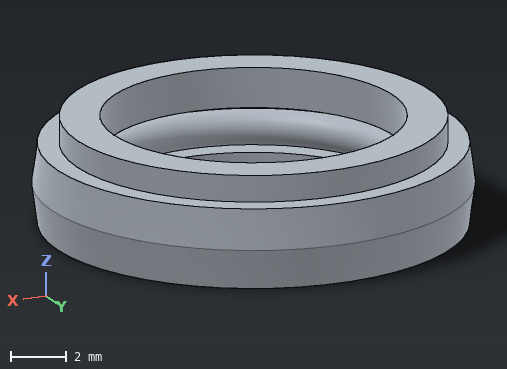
import cadquery as cq

outer_diameter = 15.9
flange_end_diameter = 15.5
collar_diameter = 13.93
bore_diameter = 11.0
total_height = 4.0
flange_height = 3.0
crown_height = flange_height / 2

seal_inner_diameter = 10.5
seal_section_diameter = 1.3
seal_center_height = 1.65

groove_width = 1.69
groove_diameter = seal_inner_diameter + 2 * seal_section_diameter


def make_seal_groove():
    """Annular cutter for the groove, centred on the seal height."""
    return (
        cq.Workplane("XY")
        .workplane(offset=seal_center_height - groove_width / 2)
        .circle(groove_diameter / 2)
        .extrude(groove_width)
    )


def make_housing():
    """Revolve the housing wall about Z, then cut the seal groove."""
    wall = (
        cq.Workplane("XZ")
        .moveTo(bore_diameter / 2, 0)
        .lineTo(flange_end_diameter / 2, 0)
        .lineTo(outer_diameter / 2, crown_height)
        .lineTo(flange_end_diameter / 2, flange_height)
        .lineTo(collar_diameter / 2, flange_height)
        .lineTo(collar_diameter / 2, total_height)
        .lineTo(bore_diameter / 2, total_height)
        .close()
        .revolve(360, (0, 0, 0), (0, 1, 0))
    )
    return wall.cut(make_seal_groove())


def make_seal_ring():
    """Revolve the round seal section about Z."""
    section_radius = seal_section_diameter / 2
    section_center = seal_inner_diameter / 2 + section_radius
    return (
        cq.Workplane("XZ")
        .center(section_center, seal_center_height)
        .circle(section_radius)
        .revolve(360, (-section_center, 0, 0), (-section_center, 1, 0))
    )


housing = make_housing()
seal_ring = make_seal_ring()
result = cq.Compound.makeCompound([housing.val(), seal_ring.val()])